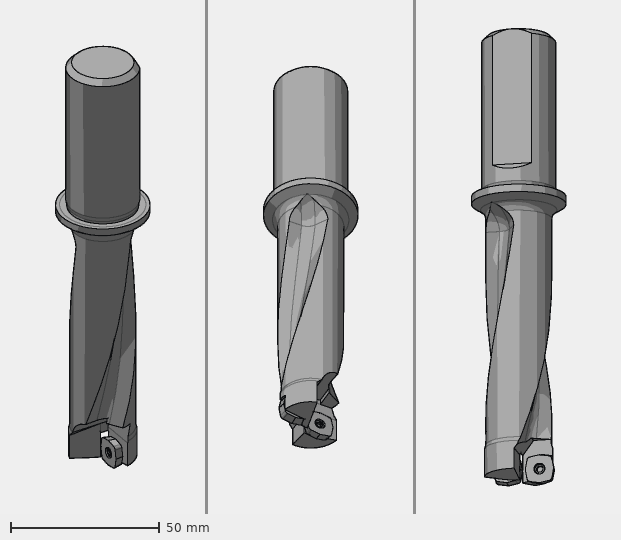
import cadquery as cq
import math

total_length = 156.99
shank_length = 56.0
shank_radius = 12.5
shank_chamfer = 2.0
flange_top = total_length - shank_length
flange_radius = 15.95
flange_rim = 2.6

groove_radius = 24.28 / 2
groove_floor_height = 0.6
groove_height = 2.2

dish_radius = 14.55
dish_depth = 0.3

flat_offset = 10.5
flat_length = 47.3
flat_ramp = shank_radius - flat_offset

neck_radius = 11.2
neck_top = 93.2
blend_radius = 3.9
blend_angle = math.radians(55)
head_radius = 11.6
head_top = 12.5
head_step = 1.4
point_height = 0.5
point_edge_height = 2.8

flute_count = 2
flute_top = 88.0
flute_bottom = 11.0
flute_section_count = 9
flute_top_angle = -121.5
twist_start = 0.73
twist_growth = 0.0078
flute_half_width = 35.5
flute_corner_depth_radius = 5.3
flute_corner_angle = -3.0
flute_corner_round = 4.5
flute_overcut = 1.5
runout_height = 8.5
runout_shift = 7.0
runout_section_count = 5

insert_thickness = 2.9
insert_apothem = 4.9
insert_corner = 4.15
insert_corner_round = 1.2
insert_relief = 7.0
central_x = 3.55
central_z = insert_apothem
outer_x = -7.15
outer_z = 5.4
seat_opening = 1.0

pocket_reach = 20.0
pocket_bottom = -1.0
central_wall_x = central_x - insert_apothem
central_wall_rim_x = -3.3
central_pocket_top = 11.8
central_wall_top = 14.0
central_ledge = 18.3
central_ledge_x = 5.9
central_peak = 20.3
central_arc_x = 2.4
central_arc_z = 18.9
central_relief_y = 4.5
outer_wall_x = -1.0
outer_pocket_top = 9.8
outer_slope_x = -5.1
outer_slope_top = 15.4

hole_top_radius = 3.75 / 2
hole_radius = 2.8 / 2
hole_cone_depth = 1.2
screw_head_radius = 3.35 / 2
screw_shank_radius = 2.5 / 2
screw_length = 7.0
socket_radius = 2.2 / 2
socket_depth = 1.0
hole_cone_slope = hole_cone_depth / (hole_top_radius - hole_radius)
screw_head_depth = hole_cone_slope * (hole_top_radius - screw_head_radius)


def polar(radius, degrees):
    angle = math.radians(degrees)
    return cq.Vector(radius * math.cos(angle), radius * math.sin(angle), 0)


def make_blank():
    """Turned shape of the holder: shank, groove, flange, neck, head and conical end."""

    def blend_point(angle):
        return (
            neck_radius + blend_radius * (1 - math.cos(angle)),
            neck_top + blend_radius * math.sin(angle),
        )

    return (
        cq.Workplane("XZ")
        .moveTo(0, point_height)
        .lineTo(head_radius, point_edge_height)
        .lineTo(head_radius, head_top)
        .lineTo(neck_radius, head_top + head_step)
        .lineTo(neck_radius, neck_top)
        .threePointArc(blend_point(blend_angle / 2), blend_point(blend_angle))
        .lineTo(flange_radius, flange_top - flange_rim)
        .lineTo(flange_radius, flange_top)
        .lineTo(dish_radius, flange_top)
        .lineTo(groove_radius, flange_top - dish_depth)
        .lineTo(groove_radius, flange_top + groove_floor_height)
        .lineTo(shank_radius, flange_top + groove_height)
        .lineTo(shank_radius, total_length - shank_chamfer)
        .lineTo(shank_radius - shank_chamfer, total_length)
        .lineTo(0, total_length)
        .close()
        .revolve(360, (0, 0, 0), (0, 1, 0))
    )


def make_shank_flat():
    """Cutter for the clamping flat, drawn in the YZ plane."""
    flat_end = total_length - flat_length
    return (
        cq.Workplane("YZ")
        .moveTo(flat_offset, total_length)
        .lineTo(flat_offset, flat_end)
        .lineTo(flat_offset + 2 * flat_ramp, flat_end - 2 * flat_ramp)
        .lineTo(flat_offset + 2 * flat_ramp, total_length)
        .close()
        .extrude(shank_radius, both=True)
    )


def flute_section(z, shift=0.0):
    """Flute profile at height z: two flanks and a rounded corner, turned by the twist."""
    depth = max(flute_top - z, 0)
    middle = flute_top_angle - twist_start * depth - twist_growth * depth**2
    corner = polar(flute_corner_depth_radius, flute_corner_angle)
    lower_edge = polar(neck_radius, -flute_half_width)
    upper_edge = polar(neck_radius, flute_half_width)
    lower = (lower_edge - corner).normalized()
    upper = (upper_edge - corner).normalized()
    half_corner = lower.getAngle(upper) / 2
    setback = flute_corner_round / math.tan(half_corner)
    bisector = (lower + upper).normalized()
    arc_middle = corner + bisector * (flute_corner_round / math.sin(half_corner) - flute_corner_round)

    points = [
        lower_edge + lower * flute_overcut,
        corner + lower * setback,
        arc_middle,
        corner + upper * setback,
        upper_edge + upper * flute_overcut,
        polar(pocket_reach, flute_half_width),
        polar(pocket_reach, -flute_half_width),
    ]
    move = cq.Vector(shift, 0, 0)
    frame = cq.Plane((0, 0, z), polar(1, middle), (0, 0, 1))
    start, arc_start, arc_mid, arc_end, end, far_end, far_start = [
        frame.toWorldCoords(point + move) for point in points
    ]
    return cq.Wire.assembleEdges([
        cq.Edge.makeLine(start, arc_start),
        cq.Edge.makeThreePointArc(arc_start, arc_mid, arc_end),
        cq.Edge.makeLine(arc_end, end),
        cq.Edge.makeLine(end, far_end),
        cq.Edge.makeLine(far_end, far_start),
        cq.Edge.makeLine(far_start, start),
    ])


def make_flute():
    """Cutters for one twisted flute and for its run-out, which climbs outward under the flange."""
    spacing = (flute_top - flute_bottom) / (flute_section_count - 1)
    sections = [flute_section(flute_bottom + i * spacing) for i in range(flute_section_count)]
    twisted = cq.Solid.makeLoft(sections)
    runout_sections = []
    for i in range(runout_section_count):
        climb = i / (runout_section_count - 1)
        runout_sections.append(flute_section(flute_top + climb * runout_height, climb**2 * runout_shift))
    runout = cq.Solid.makeLoft(runout_sections)
    return cq.Workplane(twisted), cq.Workplane(runout)


def make_central_pocket():
    """Open pocket on the +X -Y side whose floor carries the central insert."""
    reach = pocket_reach
    plan = (
        cq.Workplane("XY", origin=(0, 0, pocket_bottom))
        .polyline([
            (central_wall_x, reach),
            (central_wall_x, 0),
            (central_wall_rim_x, -head_radius),
            (central_wall_rim_x, -reach),
            (reach, -reach),
            (reach, reach),
        ])
        .close()
        .extrude(2 * reach)
    )
    side = (
        cq.Workplane("YZ")
        .polyline([
            (insert_thickness, pocket_bottom),
            (insert_thickness, central_pocket_top),
            (central_relief_y, central_ledge),
            (central_relief_y, 2 * reach),
            (-reach, 2 * reach),
            (-reach, pocket_bottom),
        ])
        .close()
        .extrude(reach, both=True)
    )
    face = (
        cq.Workplane("XZ")
        .moveTo(central_wall_rim_x, pocket_bottom)
        .lineTo(central_wall_rim_x, central_pocket_top)
        .lineTo(central_wall_x, central_wall_top)
        .threePointArc((central_arc_x, central_arc_z), (central_ledge_x, central_peak))
        .lineTo(central_ledge_x, central_ledge)
        .lineTo(reach, central_ledge)
        .lineTo(reach, pocket_bottom)
        .close()
        .extrude(reach, both=True)
    )
    return plan.intersect(side).intersect(face)


def make_outer_pocket():
    """Open pocket on the -X +Y side, level with the rake face of the outer insert."""
    reach = pocket_reach
    return (
        cq.Workplane("XZ")
        .polyline([
            (outer_wall_x, pocket_bottom),
            (outer_wall_x, outer_pocket_top),
            (outer_slope_x, outer_slope_top),
            (-reach, outer_slope_top),
            (-reach, pocket_bottom),
        ])
        .close()
        .extrude(-reach)
    )


def insert_outline(inset):
    """Corners and side peaks of the insert, all moved inward by the inset."""
    points = []
    for quarter in range(4):
        turn = 90 * quarter
        points.append(polar(insert_apothem - inset, turn).toTuple()[:2])
        points.append(polar((insert_corner - inset) * math.sqrt(2), turn + 45).toTuple()[:2])
    return points


def make_insert_block():
    """Insert without its hole: rake face on z = 0, clearance tapering toward -z."""
    inset = insert_thickness * math.tan(math.radians(insert_relief))
    corner = insert_corner - inset / 2
    block = (
        cq.Workplane("XY")
        .polyline(insert_outline(0))
        .close()
        .workplane(offset=-insert_thickness)
        .polyline(insert_outline(inset))
        .close()
        .loft(ruled=True)
    )
    for x in (-corner, corner):
        for y in (-corner, corner):
            edge = cq.selectors.NearestToPointSelector((x, y, -insert_thickness / 2))
            block = block.edges(edge).fillet(insert_corner_round)
    return block


def make_insert_hole():
    """Countersunk screw hole through an insert."""
    return (
        cq.Workplane("XZ")
        .polyline([
            (0, 0),
            (hole_top_radius, 0),
            (hole_radius, -hole_cone_depth),
            (hole_radius, -insert_thickness),
            (0, -insert_thickness),
        ])
        .close()
        .revolve(360, (0, 0, 0), (0, 1, 0))
    )


def make_screw():
    """Countersunk screw along -z, seated on the cone of the insert hole, with a round socket."""
    head_top = -screw_head_depth
    socket_floor = head_top - socket_depth
    return (
        cq.Workplane("XZ")
        .polyline([
            (0, socket_floor),
            (socket_radius, socket_floor),
            (socket_radius, head_top),
            (screw_head_radius, head_top),
            (hole_radius, -hole_cone_depth),
            (screw_shank_radius, -insert_thickness),
            (screw_shank_radius, -screw_length),
            (0, -screw_length),
        ])
        .close()
        .revolve(360, (0, 0, 0), (0, 1, 0))
    )


def place_central(body):
    """Put an insert-frame body at the central seat, rake face toward -Y."""
    return body.rotate((0, 0, 0), (1, 0, 0), 90).translate((central_x, 0, central_z))


def place_outer(body):
    """Put an insert-frame body at the outer seat, rake face toward +Y."""
    return body.rotate((0, 0, 0), (1, 0, 0), -90).translate((outer_x, 0, outer_z))


insert_block = make_insert_block()
insert = insert_block.cut(make_insert_hole())
screw = make_screw()
screw_bore = cq.Workplane("XY").circle(screw_shank_radius).extrude(-screw_length)

holder = make_blank().cut(make_shank_flat())
for flute_number in range(flute_count):
    for cutter in make_flute():
        holder = holder.cut(cutter.rotate((0, 0, 0), (0, 0, 1), flute_number * 360 / flute_count))
holder = holder.cut(make_central_pocket()).cut(make_outer_pocket())

holder = holder.cut(place_outer(insert_block.translate((-seat_opening, 0, 0))))

inserts = []
screws = []
for place in (place_central, place_outer):
    holder = holder.cut(place(insert_block)).cut(place(screw_bore))
    inserts.append(place(insert))
    screws.append(place(screw))

result = cq.Compound.makeCompound([
    holder.val(),
    *[body.val() for body in inserts],
    *[body.val() for body in screws],
])